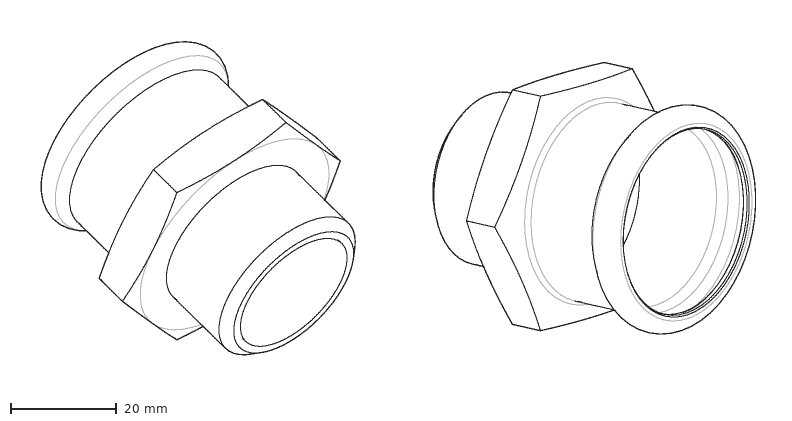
import cadquery as cq
import math


total_length = 50.8
hex_across_flats = 46.0
hex_corner_radius = hex_across_flats / math.sqrt(3)
hex_back_x = 33.0
hex_front_edge_x = 25.0
hex_bevel_slope = math.tan(math.radians(15))

socket_outer_radius = 38.4 / 2
socket_bore_radius = 35.3 / 2
socket_root_fillet = 1.0
socket_bore_end_x = 27.0
floor_cone_angle = 75.0

bead_tube_radius = 3.0
bead_wall = 1.5
groove_tube_radius = bead_tube_radius - bead_wall
bead_center_x = bead_tube_radius
bead_center_radius = 44.0 / 2 - bead_tube_radius
flank_angle = 45
groove_exit_radius = 3.0
lip_bore_radius = 35.9 / 2
lip_chamfer = 0.3

male_outer_radius = 33.25 / 2
male_chamfer = 2.0
through_bore_radius = 26.0 / 2


def on_bead(tube_radius, degrees):
    """Point (x, radius) on a circle about the bead centre; 0 degrees is +X, 90 is outward."""
    angle = math.radians(degrees)
    return (
        bead_center_x + tube_radius * math.cos(angle),
        bead_center_radius + tube_radius * math.sin(angle),
    )


def flank_x_at(flank_start, radius):
    """Axial position where the cone leaving flank_start has narrowed to the given radius."""
    start_x, start_radius = flank_start
    return start_x + (start_radius - radius) / math.tan(math.radians(flank_angle))


def revolve_about_x(profile):
    return profile.close().revolve(360, (0, 0, 0), (1, 0, 0))


def make_bead_and_socket():
    """Solid outside of the socket: bead, conical flank, cylinder and rounded root at the collar."""
    flank_start = on_bead(bead_tube_radius, flank_angle)
    flank_end_x = flank_x_at(flank_start, socket_outer_radius)

    bevel_angle = math.atan(hex_bevel_slope)
    bevel_root_x = hex_front_edge_x - hex_bevel_slope * (hex_corner_radius - socket_outer_radius)
    turn_angle = math.pi / 2 - bevel_angle
    tangent_length = socket_root_fillet * math.tan(turn_angle / 2)
    fillet_start_x = bevel_root_x - tangent_length
    fillet_center_radius = socket_outer_radius + socket_root_fillet
    fillet_end = (
        bevel_root_x + tangent_length * math.sin(bevel_angle),
        socket_outer_radius + tangent_length * math.cos(bevel_angle),
    )
    fillet_middle = (
        fillet_start_x + socket_root_fillet * math.sin(turn_angle / 2),
        fillet_center_radius - socket_root_fillet * math.cos(turn_angle / 2),
    )

    profile = (
        cq.Workplane("XY")
        .moveTo(0, 0)
        .lineTo(*on_bead(bead_tube_radius, 180))
        .threePointArc(on_bead(bead_tube_radius, 90), flank_start)
        .lineTo(flank_end_x, socket_outer_radius)
        .lineTo(fillet_start_x, socket_outer_radius)
        .threePointArc(fillet_middle, fillet_end)
        .lineTo(hex_back_x, fillet_end[1])
        .lineTo(hex_back_x, 0)
    )
    return revolve_about_x(profile)


def make_hex_collar():
    """Hexagon with corners on +Y and -Y, both ends bevelled by cones."""
    front_axis_x = hex_front_edge_x - hex_bevel_slope * hex_corner_radius
    back_flat_radius = hex_across_flats / 2
    back_edge_x = hex_back_x - hex_bevel_slope * (hex_corner_radius - back_flat_radius)

    prism = (
        cq.Workplane("YZ")
        .workplane(offset=front_axis_x)
        .polygon(6, 2 * hex_corner_radius)
        .extrude(hex_back_x - front_axis_x)
    )
    bevel_envelope = revolve_about_x(
        cq.Workplane("XY")
        .moveTo(front_axis_x, 0)
        .lineTo(hex_front_edge_x, hex_corner_radius)
        .lineTo(back_edge_x, hex_corner_radius)
        .lineTo(hex_back_x, back_flat_radius)
        .lineTo(hex_back_x, 0)
    )
    return prism.intersect(bevel_envelope)


def make_male_end():
    """Plain cylinder with a chamfered tip."""
    return (
        cq.Workplane("YZ")
        .workplane(offset=hex_back_x)
        .circle(male_outer_radius)
        .extrude(total_length - hex_back_x)
        .faces(">X")
        .chamfer(male_chamfer)
    )


def make_inner_passage():
    """Space to remove: chamfered lip, seal groove, socket bore, floor cone and through bore."""
    groove_start = on_bead(groove_tube_radius, 180)
    flank_start = on_bead(groove_tube_radius, flank_angle)

    full_turn = math.radians(flank_angle)
    exit_start_radius = socket_bore_radius + groove_exit_radius * (1 - math.cos(full_turn))
    exit_start_x = flank_x_at(flank_start, exit_start_radius)
    exit_end_x = exit_start_x + groove_exit_radius * math.sin(full_turn)
    half_turn = full_turn / 2
    exit_middle = (
        exit_end_x - groove_exit_radius * math.sin(half_turn),
        socket_bore_radius + groove_exit_radius * (1 - math.cos(half_turn)),
    )

    floor_depth = (socket_bore_radius - through_bore_radius) / math.tan(math.radians(floor_cone_angle))

    profile = (
        cq.Workplane("XY")
        .moveTo(0, 0)
        .lineTo(0, lip_bore_radius + lip_chamfer)
        .lineTo(lip_chamfer, lip_bore_radius)
        .lineTo(bead_wall - lip_chamfer, lip_bore_radius)
        .lineTo(bead_wall, lip_bore_radius + lip_chamfer)
        .lineTo(*groove_start)
        .threePointArc(on_bead(groove_tube_radius, 90), flank_start)
        .lineTo(exit_start_x, exit_start_radius)
        .threePointArc(exit_middle, (exit_end_x, socket_bore_radius))
        .lineTo(socket_bore_end_x, socket_bore_radius)
        .lineTo(socket_bore_end_x + floor_depth, through_bore_radius)
        .lineTo(total_length, through_bore_radius)
        .lineTo(total_length, 0)
    )
    return revolve_about_x(profile)


result = (
    make_bead_and_socket()
    .union(make_hex_collar())
    .union(make_male_end())
    .cut(make_inner_passage())
)